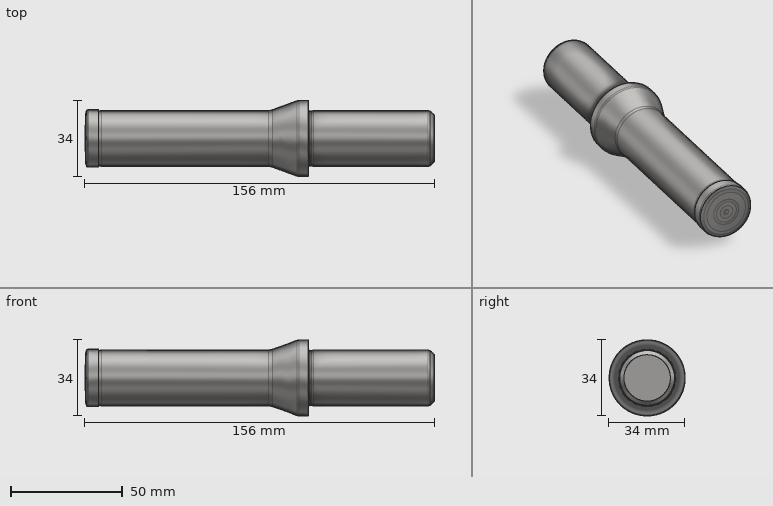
import cadquery as cq

TOTAL_LENGTH = 156.0
SHANK_RADIUS = 25.0 / 2
NECK_RADIUS = 24.5 / 2
FLANGE_RADIUS = 34.0 / 2

TIP_RADIUS = 25.7 / 2
TIP_LENGTH = 6.0
RIM_START = 1.5
RIM_FOOT_DEPTH = 0.3
RIM_FOOT_RADIUS = 11.2
RIM_EDGE_DEPTH = 0.8
RIM_EDGE_RADIUS = 12.6
FACE_RADIUS = 9.7
FACE_DEPTH = 0.2
BOSS_RADIUS = 6.2
BOSS_TOP_RADIUS = 5.0
DIMPLE_RADIUS = 3.1
DIMPLE_FLOOR_RADIUS = 1.2
DIMPLE_DEPTH = 0.2
DIMPLE_POINT_DEPTH = 0.5

NECK_TAPER_LENGTH = 1.4

CONE_START = 82.8
CONE_LENGTH = 12.3
FLANGE_BACK = 99.8
CONE_FOOT_BLEND = 4.7
CONE_TOP_BLEND = 2.8
FLANGE_EDGE_FILLET = 0.5

UNDERCUT_LENGTH = 1.2
UNDERCUT_TAPER_LENGTH = 1.0

REAR_TAPER_LENGTH = 1.0
REAR_CHAMFER = 1.9


def revolve_about_x(profile):
    """Turn a closed half profile in the XY plane fully about the X axis."""
    return profile.close().revolve(360, (0, 0, 0), (1, 0, 0))


def circle_edges_at(body, x, radius):
    """Select the circular edges at a given X and radius."""
    margin = 0.08
    reach = radius + margin
    box = cq.selectors.BoxSelector(
        (x - margin, -reach, -reach), (x + margin, reach, reach), boundingbox=True
    )
    return body.edges(box)


def make_tip():
    profile = (
        cq.Workplane("XY")
        .moveTo(DIMPLE_POINT_DEPTH, 0)
        .lineTo(DIMPLE_DEPTH, DIMPLE_FLOOR_RADIUS)
        .lineTo(0, DIMPLE_RADIUS)
        .lineTo(0, BOSS_TOP_RADIUS)
        .lineTo(FACE_DEPTH, BOSS_RADIUS)
        .lineTo(FACE_DEPTH, FACE_RADIUS)
        .lineTo(RIM_FOOT_DEPTH, RIM_FOOT_RADIUS)
        .lineTo(RIM_EDGE_DEPTH, RIM_EDGE_RADIUS)
        .lineTo(RIM_START, TIP_RADIUS)
        .lineTo(TIP_LENGTH, TIP_RADIUS)
        .lineTo(TIP_LENGTH, 0)
    )
    return revolve_about_x(profile)


def make_holder():
    cone_end = CONE_START + CONE_LENGTH
    undercut_end = FLANGE_BACK + UNDERCUT_LENGTH
    chamfer_start = TOTAL_LENGTH - REAR_CHAMFER
    profile = (
        cq.Workplane("XY")
        .moveTo(TIP_LENGTH, 0)
        .lineTo(TIP_LENGTH, NECK_RADIUS)
        .lineTo(TIP_LENGTH + NECK_TAPER_LENGTH, SHANK_RADIUS)
        .lineTo(CONE_START, SHANK_RADIUS)
        .lineTo(cone_end, FLANGE_RADIUS)
        .lineTo(FLANGE_BACK, FLANGE_RADIUS)
        .lineTo(FLANGE_BACK, NECK_RADIUS)
        .lineTo(undercut_end, NECK_RADIUS)
        .lineTo(undercut_end + UNDERCUT_TAPER_LENGTH, SHANK_RADIUS)
        .lineTo(chamfer_start - REAR_TAPER_LENGTH, SHANK_RADIUS)
        .lineTo(chamfer_start, NECK_RADIUS)
        .lineTo(TOTAL_LENGTH, NECK_RADIUS - REAR_CHAMFER)
        .lineTo(TOTAL_LENGTH, 0)
    )
    holder = revolve_about_x(profile)
    holder = circle_edges_at(holder, CONE_START, SHANK_RADIUS).fillet(CONE_FOOT_BLEND)
    holder = circle_edges_at(holder, cone_end, FLANGE_RADIUS).fillet(CONE_TOP_BLEND)
    return circle_edges_at(holder, FLANGE_BACK, FLANGE_RADIUS).fillet(FLANGE_EDGE_FILLET)


tip = make_tip()
holder = make_holder()

result = cq.Compound.makeCompound([tip.val(), holder.val()])